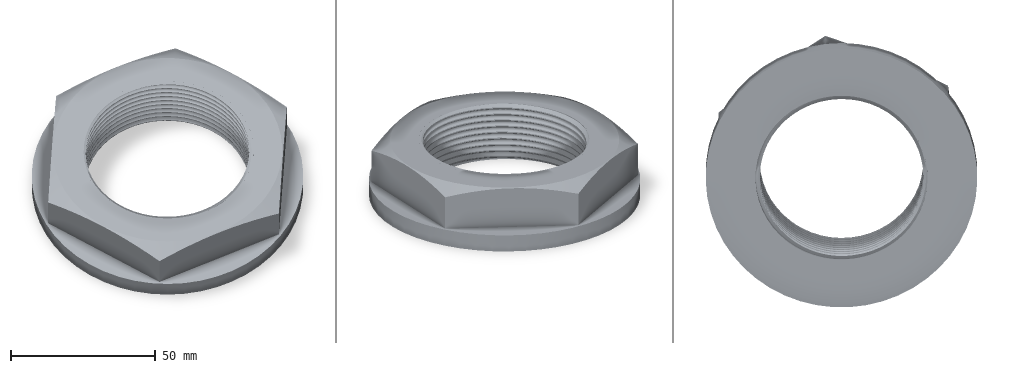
import cadquery as cq
import math

FLANGE_DIAMETER = 94.0
FLANGE_HEIGHT = 6.1
NUT_HEIGHT = 21.0
ACROSS_FLATS = 80.0
TOP_FACE_DIAMETER = 79.4
CORNER_DROP = 2.9
BORE_DIAMETER = 59.6

CREST_DIAMETER = 56.7
TURNS_IN_BORE = 9.1
ROOT_WIDTH = 2.0
CREST_WIDTH = 0.4
TOP_ANGLE = 125.0

HEX_CORNER_DIAMETER = ACROSS_FLATS / math.cos(math.pi / 6)
BORE_RADIUS = BORE_DIAMETER / 2
CREST_RADIUS = CREST_DIAMETER / 2
PITCH = NUT_HEIGHT / TURNS_IN_BORE
WOUND_TURNS = math.ceil(TURNS_IN_BORE) + 3
START_HEIGHT = NUT_HEIGHT - PITCH * (math.ceil(TURNS_IN_BORE) + 1 + TOP_ANGLE / 360)


def make_nut():
    flange = cq.Workplane("XY").circle(FLANGE_DIAMETER / 2).extrude(FLANGE_HEIGHT)
    hexagon = cq.Workplane("XY").polygon(6, HEX_CORNER_DIAMETER).extrude(NUT_HEIGHT)
    corner_radius = HEX_CORNER_DIAMETER / 2
    envelope = (
        cq.Workplane("XZ")
        .lineTo(corner_radius, 0)
        .lineTo(corner_radius, NUT_HEIGHT - CORNER_DROP)
        .lineTo(TOP_FACE_DIAMETER / 2, NUT_HEIGHT)
        .lineTo(0, NUT_HEIGHT)
        .close()
        .revolve(360, (0, 0, 0), (0, 1, 0))
    )
    bore = cq.Workplane("XY").circle(BORE_RADIUS).extrude(NUT_HEIGHT)
    return flange.union(hexagon.intersect(envelope)).cut(bore)


def ridge_corner_helix(radius, height_offset):
    start = cq.Vector(0, 0, START_HEIGHT + height_offset)
    return cq.Wire.makeHelix(PITCH, WOUND_TURNS * PITCH, radius, center=start)


def make_thread():
    helices = [
        ridge_corner_helix(BORE_RADIUS, -ROOT_WIDTH / 2),
        ridge_corner_helix(CREST_RADIUS, -CREST_WIDTH / 2),
        ridge_corner_helix(CREST_RADIUS, CREST_WIDTH / 2),
        ridge_corner_helix(BORE_RADIUS, ROOT_WIDTH / 2),
    ]
    edges = [helix.Edges()[0] for helix in helices]
    long_faces = [cq.Face.makeRuledSurface(edges[i - 1], edges[i]) for i in range(4)]
    end_faces = []
    for end in (0, 1):
        corners = [edge.positionAt(end) for edge in edges]
        end_faces.append(cq.Face.makeFromWires(cq.Wire.makePolygon(corners, close=True)))
    ridge = cq.Solid.makeSolid(cq.Shell.makeShell(long_faces + end_faces))
    trim = cq.Workplane("XY").circle(FLANGE_DIAMETER / 2).extrude(NUT_HEIGHT)
    return cq.Workplane(ridge).intersect(trim)


nut = make_nut()
thread = make_thread()
result = cq.Compound.makeCompound([nut.solids().val(), thread.solids().val()])